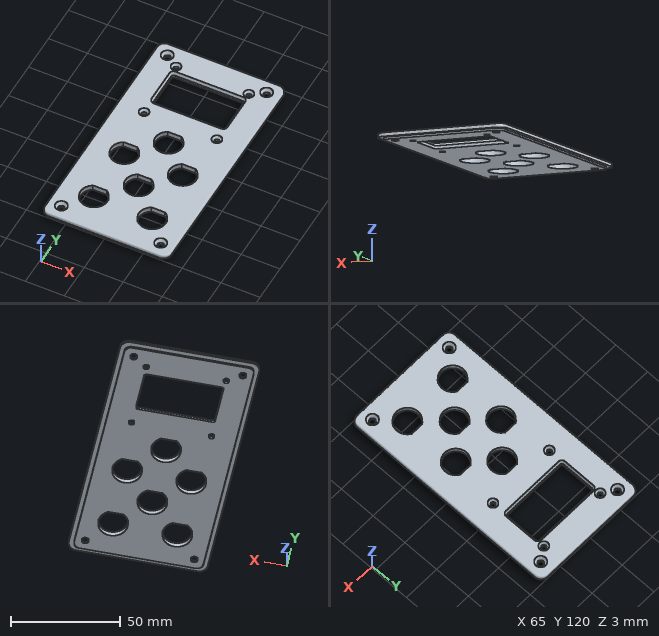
import cadquery as cq
import math

plate_width = 65.0
plate_length = 120.0
plate_thickness = 2.0
plate_corner_radius = 4.0
plate_edge_radius = 1.0

lip_inset = 2.25
lip_height = 1.0
lip_corner_radius = 3.0
total_thickness = plate_thickness + lip_height

window_width = 37.0
window_length = 20.0
window_center_y = 34.5
window_corner_radius = 1.0
window_flare_width = 1.0
window_flare_depth = 1.5

corner_hole_spacing_x = 51.0
corner_hole_spacing_y = 106.0
corner_hole_diameter = 3.2
corner_sink_diameter = 6.0

display_hole_spacing_x = 37.4
display_hole_spacing_y = 32.0
display_hole_center_y = 32.5
display_hole_diameter = 2.6
display_sink_diameter = 5.0

sink_angle = 82.0

button_diameter = 13.7
button_flat_distance = 5.9
button_column_offset = 15.0
button_row_pitch = 15.0
button_top_row_y = 4.55
button_bottom_row_y = -40.95
button_centers = [
    (0, button_top_row_y),
    (-button_column_offset, button_top_row_y - button_row_pitch),
    (button_column_offset, button_top_row_y - button_row_pitch),
    (0, button_top_row_y - 2 * button_row_pitch),
    (-button_column_offset, button_bottom_row_y),
    (button_column_offset, button_bottom_row_y),
]


def rounded_block(width, length, height, corner_radius):
    """Block hanging down from Z = 0 with rounded vertical edges."""
    block = cq.Workplane("XY").rect(width, length).extrude(-height)
    return block.edges("|Z").fillet(corner_radius)


def make_plate():
    plate = rounded_block(plate_width, plate_length, plate_thickness, plate_corner_radius)
    plate = plate.faces(">Z").edges().fillet(plate_edge_radius)
    lip = rounded_block(
        plate_width - 2 * lip_inset,
        plate_length - 2 * lip_inset,
        total_thickness,
        lip_corner_radius,
    )
    return plate.union(lip)


def cut_window(body):
    opening = rounded_block(window_width, window_length, total_thickness, window_corner_radius)
    flare_outline = (
        cq.Sketch()
        .rect(window_width + 2 * window_flare_width, window_length + 2 * window_flare_width)
        .vertices()
        .fillet(window_corner_radius + window_flare_width)
    )
    flare_taper = math.degrees(math.atan2(window_flare_width, window_flare_depth))
    flare = cq.Workplane("XY").placeSketch(flare_outline).extrude(-window_flare_depth, taper=flare_taper)
    return body.cut(opening.union(flare).translate((0, window_center_y, 0)))


def cut_screw_holes(body, spacing_x, spacing_y, center_y, hole_diameter, sink_diameter):
    return (
        body.faces(">Z")
        .workplane(origin=(0, center_y, 0))
        .rarray(spacing_x, spacing_y, 2, 2)
        .cskHole(hole_diameter, sink_diameter, sink_angle)
    )


def cut_button_holes(body):
    disc = cq.Workplane("XY").circle(button_diameter / 2).extrude(-total_thickness)
    below_flat = (
        cq.Workplane("XY")
        .center(0, button_flat_distance - button_diameter / 2)
        .rect(button_diameter, button_diameter)
        .extrude(-total_thickness)
    )
    cutter = disc.intersect(below_flat)
    for x, y in button_centers:
        body = body.cut(cutter.translate((x, y, 0)))
    return body


result = make_plate()
result = cut_window(result)
result = cut_screw_holes(
    result,
    corner_hole_spacing_x,
    corner_hole_spacing_y,
    0,
    corner_hole_diameter,
    corner_sink_diameter,
)
result = cut_screw_holes(
    result,
    display_hole_spacing_x,
    display_hole_spacing_y,
    display_hole_center_y,
    display_hole_diameter,
    display_sink_diameter,
)
result = cut_button_holes(result)